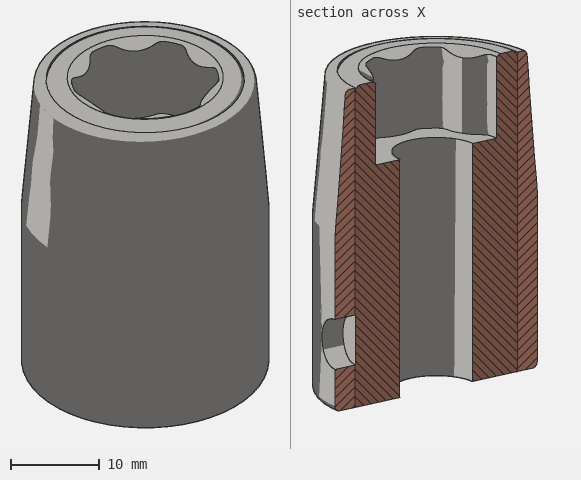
import cadquery as cq
import math

height = 38.3
outer_radius = 14.0

taper_start = 21.03
rim_drop = 0.25
rim_height = height - rim_drop
rim_fillet = 0.65
shoulder_radius = 12.6
bottom_fillet = 0.7

side_hole_radius = 2.95
side_hole_height = 8.05

core_radius = 11.2
core_fillet = 0.8
bore_radius = 5.0

lobe_count = 6
lobe_pitch = 360 / lobe_count
lobe_tip_radius = 8.3
ridge_radius = 7.12
ridge_half_angle = 19.0
lobe_corner_fillet = 1.45
recess_depth = 9.95

lead_in_radius = 8.8
lead_in_angle = 30.0


def polar(radius, degrees):
    """Point at the given radius and angle from +X."""
    angle = math.radians(degrees)
    return (radius * math.cos(angle), radius * math.sin(angle))


def make_sleeve():
    """Revolved sleeve with rounded ends and a radial side hole."""
    sleeve = (
        cq.Workplane("XZ")
        .moveTo(core_radius, 0)
        .lineTo(outer_radius - bottom_fillet, 0)
        .radiusArc((outer_radius, bottom_fillet), -bottom_fillet)
        .lineTo(outer_radius, taper_start)
        .lineTo(shoulder_radius, rim_height - rim_fillet)
        .radiusArc((shoulder_radius - rim_fillet, rim_height), -rim_fillet)
        .lineTo(core_radius, rim_height)
        .close()
        .revolve(360, (0, 0, 0), (0, 1, 0))
    )
    side_hole = (
        cq.Workplane("XZ")
        .center(0, side_hole_height)
        .circle(side_hole_radius)
        .extrude(-outer_radius)
    )
    return sleeve.cut(side_hole)


def make_lobed_recess():
    """Six rounded lobes separated by arc-shaped ridges."""
    outline = cq.Workplane("XY", origin=(0, 0, height - recess_depth))
    outline = outline.moveTo(*polar(lobe_tip_radius, -ridge_half_angle))
    for i in range(lobe_count):
        middle = i * lobe_pitch
        outline = outline.threePointArc(
            polar(ridge_radius, middle),
            polar(lobe_tip_radius, middle + ridge_half_angle),
        )
        outline = outline.threePointArc(
            polar(lobe_tip_radius, middle + lobe_pitch / 2),
            polar(lobe_tip_radius, middle + lobe_pitch - ridge_half_angle),
        )
    return outline.close().extrude(recess_depth).edges("|Z").fillet(lobe_corner_fillet)


def make_lead_in():
    """Cone whose base lies on the socket face."""
    cone_depth = lead_in_radius * math.tan(math.radians(lead_in_angle))
    return (
        cq.Workplane("XZ")
        .moveTo(0, height)
        .lineTo(lead_in_radius, height)
        .lineTo(0, height - cone_depth)
        .close()
        .revolve(360, (0, 0, 0), (0, 1, 0))
    )


def make_socket_core():
    """Cylindrical core with a through bore, lobed recess and lead-in."""
    core = cq.Workplane("XY").circle(core_radius).extrude(height)
    core = core.faces(">Z").edges().fillet(core_fillet)
    bore = cq.Workplane("XY").circle(bore_radius).extrude(height)
    return core.cut(bore).cut(make_lobed_recess()).cut(make_lead_in())


sleeve = make_sleeve()
socket_core = make_socket_core()

result = cq.Compound.makeCompound([sleeve.val(), socket_core.val()])